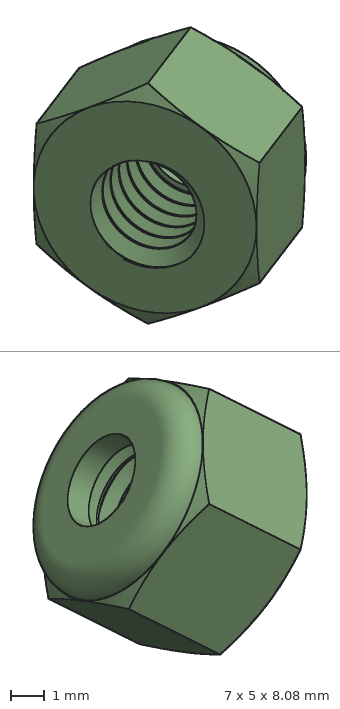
import cadquery as cq
import math

across_corners = 8.08
corner_turn = 30
hex_height = 4.16
chamfer_depth = 0.25
face_diameter = 6.99

overall_height = 5.0
collar_diameter = 6.965
collar_bore_radius = 1.47
collar_height = overall_height - hex_height
collar_straight_side = 0.01
collar_rounding = collar_height - collar_straight_side

thread_pitch = 0.7
crest_radius = 1.54
root_radius = 2.0
root_flat = thread_pitch / 8
half_angle = math.radians(30)
root_position_angle = 68
groove_overlap = 0.025


def turn_to_y(shape):
    """Turn a shape built along Z so that its axis lies along Y."""
    return shape.rotate((0, 0, 0), (1, 0, 0), -90)


def make_hex_blank():
    """Hexagonal prism with both ends chamfered by a cone."""
    face_radius = face_diameter / 2
    corner_radius = across_corners / 2
    blank = (
        cq.Workplane("XY")
        .polygon(6, across_corners)
        .extrude(hex_height)
        .rotate((0, 0, 0), (0, 0, 1), corner_turn)
    )
    envelope = (
        cq.Workplane("XZ")
        .moveTo(0, 0)
        .lineTo(face_radius, 0)
        .lineTo(corner_radius, chamfer_depth)
        .lineTo(corner_radius, hex_height - chamfer_depth)
        .lineTo(face_radius, hex_height)
        .lineTo(0, hex_height)
        .close()
        .revolve(360, (0, 0, 0), (0, 1, 0))
    )
    return blank.intersect(envelope)


def make_thread_cutter():
    """Helical groove cutter that runs out past both faces of the hexagon."""
    start = -thread_pitch
    inner_radius = crest_radius - groove_overlap
    half_root = root_flat / 2
    half_mouth = half_root + (root_radius - inner_radius) * math.tan(half_angle)
    path = cq.Wire.makeHelix(
        thread_pitch, hex_height + 2 * thread_pitch, crest_radius, cq.Vector(0, 0, start)
    )
    return (
        cq.Workplane("XZ")
        .polyline([
            (inner_radius, start - half_mouth),
            (root_radius, start - half_root),
            (root_radius, start + half_root),
            (inner_radius, start + half_mouth),
        ])
        .close()
        .sweep(cq.Workplane(path), isFrenet=True)
        .rotate((0, 0, 0), (0, 0, 1), root_position_angle)
    )


def make_nut():
    """Hexagonal body with its threaded through bore."""
    bore = cq.Workplane("XY").circle(crest_radius).extrude(hex_height)
    return turn_to_y(make_hex_blank().cut(bore).cut(make_thread_cutter()))


def make_collar():
    """Rounded locking ring on the back of the hexagon."""
    ring = (
        cq.Workplane("XY")
        .workplane(offset=hex_height)
        .circle(collar_diameter / 2)
        .extrude(collar_height)
        .faces(">Z").edges().fillet(collar_rounding)
    )
    bore = cq.Workplane("XY").circle(collar_bore_radius).extrude(overall_height)
    return turn_to_y(ring.cut(bore))


nut = make_nut()
collar = make_collar()
result = cq.Compound.makeCompound([nut.solids().val(), collar.solids().val()])